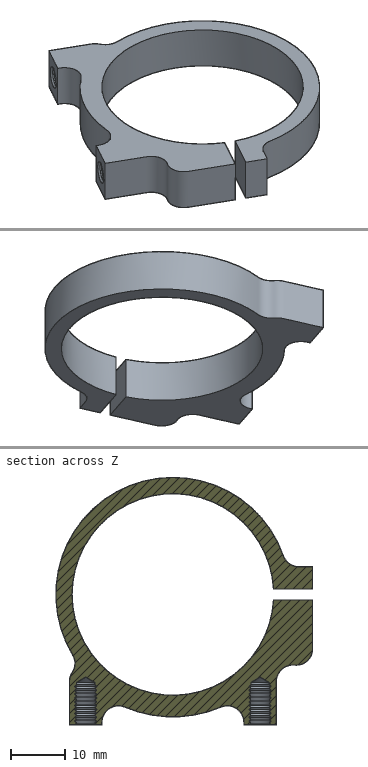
import cadquery as cq
import math

height = 8.0
bore_radius = 18.5
ring_radius = 21.5
base_radius = 22.5
fillet = 3.0

gap = 2.0
ear_end = 25.65
upper_ear_top = 5.1

foot_outer = 19.0
foot_inner = 13.0
foot_bottom = -23.95
foot_shoulder = -16.0

thread_major = 4.0
thread_minor = 3.3
thread_pitch = 0.7
thread_turns = 11
drill_angle = 118.0

foot_center = (foot_outer + foot_inner) / 2
thread_depth = thread_pitch * thread_turns


def on_circle(center, radius, toward):
    """Point of a circle in the direction of another point."""
    angle = math.atan2(toward[1] - center[1], toward[0] - center[0])
    return (center[0] + radius * math.cos(angle), center[1] + radius * math.sin(angle))


def mid_arc(center, radius, start, end):
    """Middle of the shorter arc from start to end."""
    halfway = ((start[0] + end[0]) / 2, (start[1] + end[1]) / 2)
    return on_circle(center, radius, halfway)


def outer_body():
    axis = (0, 0)

    ear_y = upper_ear_top + fillet
    ear_fillet = (math.sqrt((ring_radius + fillet) ** 2 - ear_y**2), ear_y)
    ear_start = (ear_fillet[0], upper_ear_top)
    ring_start = on_circle(axis, ring_radius, ear_fillet)

    shoulder = (fillet - foot_outer, foot_shoulder)
    shoulder_distance = math.hypot(*shoulder)
    hollow_distance = ring_radius + fillet
    cos_turn = (shoulder_distance**2 + hollow_distance**2 - (2 * fillet) ** 2) / (
        2 * shoulder_distance * hollow_distance
    )
    hollow_angle = math.atan2(shoulder[1], shoulder[0]) - math.acos(cos_turn)
    hollow = (hollow_distance * math.cos(hollow_angle), hollow_distance * math.sin(hollow_angle))
    ring_end = on_circle(axis, ring_radius, hollow)
    hollow_end = on_circle(hollow, fillet, shoulder)
    left_foot_top = (-foot_outer, foot_shoulder)

    arch_x = foot_inner - fillet
    arch_y = -math.sqrt((base_radius + fillet) ** 2 - arch_x**2)
    left_arch = (-arch_x, arch_y)
    right_arch = (arch_x, arch_y)
    left_foot_inside = (-foot_inner, arch_y)
    right_foot_inside = (foot_inner, arch_y)
    base_start = on_circle(axis, base_radius, left_arch)
    base_end = on_circle(axis, base_radius, right_arch)

    under_ear = (foot_outer + fillet, foot_shoulder)
    corner_x = ear_end - fillet
    corner_rise = math.sqrt((2 * fillet) ** 2 - (corner_x - under_ear[0]) ** 2)
    ear_corner = (corner_x, foot_shoulder + corner_rise)
    right_foot_top = (foot_outer, foot_shoulder)
    under_ear_end = on_circle(under_ear, fillet, ear_corner)
    ear_side = (ear_end, ear_corner[1])

    return (
        cq.Workplane("XY")
        .moveTo(ear_end, upper_ear_top)
        .lineTo(*ear_start)
        .threePointArc(mid_arc(ear_fillet, fillet, ear_start, ring_start), ring_start)
        .threePointArc((-ring_radius / math.sqrt(2), ring_radius / math.sqrt(2)), ring_end)
        .threePointArc(mid_arc(hollow, fillet, ring_end, hollow_end), hollow_end)
        .threePointArc(mid_arc(shoulder, fillet, hollow_end, left_foot_top), left_foot_top)
        .lineTo(-foot_outer, foot_bottom)
        .lineTo(-foot_inner, foot_bottom)
        .lineTo(*left_foot_inside)
        .threePointArc(mid_arc(left_arch, fillet, left_foot_inside, base_start), base_start)
        .threePointArc((0, -base_radius), base_end)
        .threePointArc(mid_arc(right_arch, fillet, base_end, right_foot_inside), right_foot_inside)
        .lineTo(foot_inner, foot_bottom)
        .lineTo(foot_outer, foot_bottom)
        .lineTo(*right_foot_top)
        .threePointArc(mid_arc(under_ear, fillet, right_foot_top, under_ear_end), under_ear_end)
        .threePointArc(mid_arc(ear_corner, fillet, under_ear_end, ear_side), ear_side)
        .close()
        .extrude(height / 2, both=True)
    )


def bore_and_gap():
    bore = cq.Workplane("XY").circle(bore_radius).extrude(height / 2, both=True)
    slot = cq.Workplane("XY").box(ear_end, gap, height, centered=(False, True, True))
    return bore.union(slot)


def threaded_hole(x):
    """Blind hole from the foot end, with V grooves for the thread and a drill-point bottom."""
    major = thread_major / 2
    minor = thread_minor / 2
    point_length = minor / math.tan(math.radians(drill_angle / 2))
    outline = [(0, 0), (major, 0)]
    for turn in range(thread_turns):
        crest = (turn + 0.5) * thread_pitch
        outline.append((minor, crest))
        if turn < thread_turns - 1:
            outline.append((major, crest + thread_pitch / 2))
    outline += [(minor, thread_depth), (0, thread_depth + point_length)]
    hole = cq.Workplane("XY").polyline(outline).close().revolve(360, (0, 0), (0, 1))
    return hole.translate((x, foot_bottom, 0))


result = outer_body().cut(bore_and_gap())
for side in (-1, 1):
    result = result.cut(threaded_hole(side * foot_center))